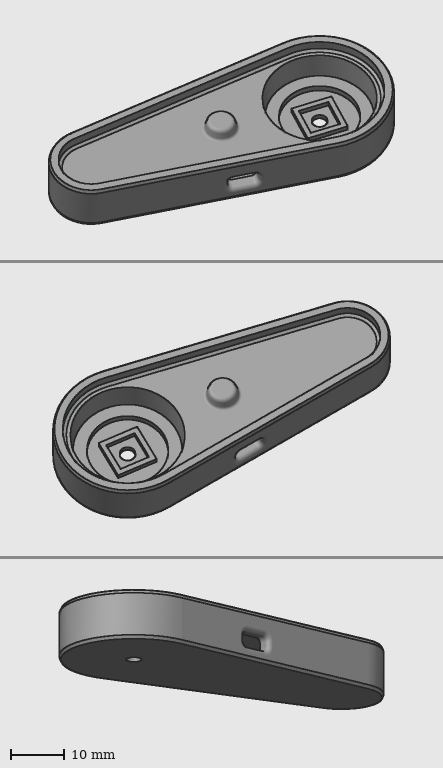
import cadquery as cq
import math

PIVOT_RADIUS = 14.0
TIP_RADIUS = 8.0
OVERALL_LENGTH = 57.45
ARM_ANGLE = 50
ARM_LENGTH = (OVERALL_LENGTH - PIVOT_RADIUS - TIP_RADIUS) / math.sin(math.radians(ARM_ANGLE))
HEIGHT = 9.6
SIDE_TILT = math.asin((PIVOT_RADIUS - TIP_RADIUS) / ARM_LENGTH)

BEVEL_LONG = 0.7
BEVEL_SHORT = 0.315

WALL = 2.5
SKIN = 1.0
RECESS_DEPTH = 2.2
RECESS_FLOOR = HEIGHT - RECESS_DEPTH
RECESS_INSET = WALL - BEVEL_LONG

POCKET_TOP_RADIUS = 10.75
POCKET_BOTTOM_RADIUS = 10.25
POCKET_DEPTH = 5.2
POCKET_FLOOR = RECESS_FLOOR - POCKET_DEPTH
STEP_RADIUS = 7.65
SOCKET_OUTER = 8.1
SOCKET_INNER = 6.0
SOCKET_HEIGHT = 1.0
PIVOT_HOLE_RADIUS = 1.5

STATION = -20.0
KNOB_BASE_RADIUS = 3.15
KNOB_TOP_RADIUS = 2.6
KNOB_HEIGHT = 2.1
KNOB_TOP_FILLET = 0.85
KNOB_BASE_FILLET = 0.6

CHAMBER_HEIGHT = RECESS_FLOOR - 2 * SKIN
SLOT_WIDTH = 6.0
SLOT_HEIGHT = 3.05
SLOT_CORNER = 1.05
SLOT_MOUTH_FILLET = 1.0
SLOT_CENTRE_Z = 4.1
SLOT_OVERRUN = 0.6

SELECT_MARGIN = 0.05


def outline(inset, z):
    """Arm outline moved inward by inset, drawn at height z."""
    pivot_r = PIVOT_RADIUS - inset
    tip_r = TIP_RADIUS - inset
    lean = math.sin(SIDE_TILT)
    rise = math.cos(SIDE_TILT)
    return (
        cq.Workplane("XY", origin=(0, 0, z))
        .moveTo(-pivot_r * lean, -pivot_r * rise)
        .threePointArc((pivot_r, 0), (-pivot_r * lean, pivot_r * rise))
        .lineTo(-ARM_LENGTH - tip_r * lean, tip_r * rise)
        .threePointArc((-ARM_LENGTH - tip_r, 0), (-ARM_LENGTH - tip_r * lean, -tip_r * rise))
        .close()
    )


def prism(inset, bottom, top):
    """Straight-walled arm shape between two heights."""
    return outline(inset, bottom).extrude(top - bottom)


def bevelled_prism(bottom_inset, top_inset, bottom, top):
    """Arm shape whose wall slopes evenly from one inset to another."""
    taper = math.degrees(math.atan2(top_inset - bottom_inset, top - bottom))
    return outline(bottom_inset, bottom).extrude(top - bottom, taper=taper)


def disc(radius, bottom, top):
    """Upright cylinder about the pivot axis."""
    return cq.Workplane("XY", origin=(0, 0, bottom)).circle(radius).extrude(top - bottom)


def arm_body():
    middle = prism(0, BEVEL_LONG, HEIGHT - BEVEL_LONG)
    lower = bevelled_prism(BEVEL_SHORT, 0, 0, BEVEL_LONG)
    upper = bevelled_prism(0, BEVEL_SHORT, HEIGHT - BEVEL_LONG, HEIGHT)
    return middle.union(lower).union(upper)


def recess():
    bevel_top = RECESS_FLOOR + BEVEL_SHORT
    floor_bevel = bevelled_prism(WALL, RECESS_INSET, RECESS_FLOOR, bevel_top)
    return prism(RECESS_INSET, bevel_top, HEIGHT).union(floor_bevel)


def pocket():
    upper = (
        cq.Workplane("XY", origin=(0, 0, POCKET_FLOOR))
        .circle(POCKET_BOTTOM_RADIUS)
        .workplane(offset=POCKET_DEPTH)
        .circle(POCKET_TOP_RADIUS)
        .loft()
    )
    return upper.union(disc(STEP_RADIUS, SKIN, POCKET_FLOOR))


def socket_rim():
    return (
        cq.Workplane("XY", origin=(0, 0, SKIN))
        .rect(SOCKET_OUTER, SOCKET_OUTER)
        .rect(SOCKET_INNER, SOCKET_INNER)
        .extrude(SOCKET_HEIGHT)
    )


def add_knob(body):
    knob = (
        cq.Workplane("XY", origin=(STATION, 0, RECESS_FLOOR))
        .circle(KNOB_BASE_RADIUS)
        .workplane(offset=KNOB_HEIGHT)
        .circle(KNOB_TOP_RADIUS)
        .loft()
        .faces(">Z")
        .edges()
        .fillet(KNOB_TOP_FILLET)
    )
    foot = cq.selectors.BoxSelector(
        (STATION - KNOB_BASE_RADIUS, -KNOB_BASE_RADIUS, RECESS_FLOOR - SELECT_MARGIN),
        (STATION + KNOB_BASE_RADIUS, KNOB_BASE_RADIUS, RECESS_FLOOR + SELECT_MARGIN),
    )
    return body.union(knob).edges(foot).fillet(KNOB_BASE_FILLET)


def chamber():
    return prism(WALL, SKIN, SKIN + CHAMBER_HEIGHT).cut(disc(PIVOT_RADIUS, 0, HEIGHT))


def cut_slot(body, side):
    """Cut one rounded slot square to a straight side (side is +1 or -1) and round its mouth."""
    normal = (-math.sin(SIDE_TILT), side * math.cos(SIDE_TILT), 0)
    along = (math.cos(SIDE_TILT), side * math.sin(SIDE_TILT), 0)
    mouth_y = side * (PIVOT_RADIUS + STATION * math.sin(SIDE_TILT)) / math.cos(SIDE_TILT)
    slot = (
        cq.Workplane(cq.Plane(origin=(STATION, mouth_y, SLOT_CENTRE_Z), xDir=along, normal=normal))
        .rect(SLOT_WIDTH, SLOT_HEIGHT)
        .extrude(-WALL - SLOT_OVERRUN)
        .edges(cq.selectors.ParallelDirSelector(cq.Vector(*normal)))
        .fillet(SLOT_CORNER)
    )
    mouth_reach = SLOT_WIDTH / 2 * math.sin(SIDE_TILT) + SELECT_MARGIN
    mouth = cq.selectors.BoxSelector(
        (STATION - SLOT_WIDTH, mouth_y - mouth_reach, SLOT_CENTRE_Z - SLOT_HEIGHT),
        (STATION + SLOT_WIDTH, mouth_y + mouth_reach, SLOT_CENTRE_Z + SLOT_HEIGHT),
    )
    return body.cut(slot).edges(mouth).fillet(SLOT_MOUTH_FILLET)


arm = arm_body().cut(recess())
arm = add_knob(arm)
arm = arm.cut(pocket()).union(socket_rim()).cut(disc(PIVOT_HOLE_RADIUS, 0, SKIN))
arm = arm.cut(chamber())
for side in (1, -1):
    arm = cut_slot(arm, side)

result = arm.rotate((0, 0, 0), (0, 0, 1), ARM_ANGLE)